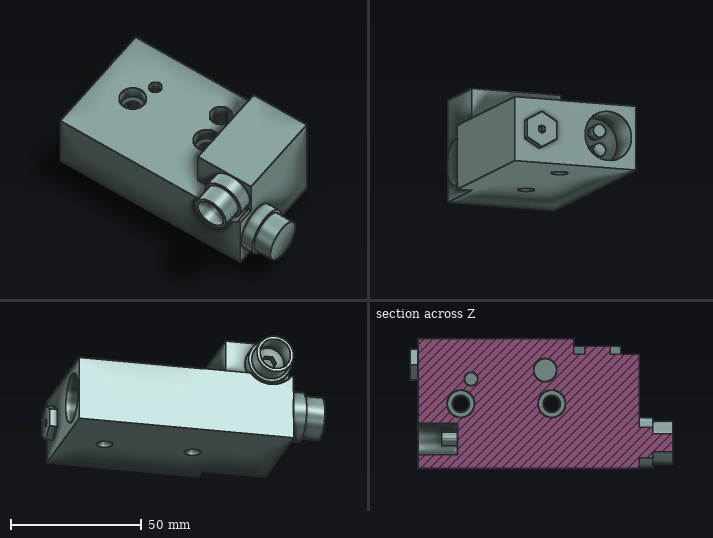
import cadquery as cq
import math


body_length = 85.0
body_depth = 50.0
body_height = 25.0
mid_height = body_height / 2

block_width = 25.0
block_depth = 37.0
block_height = 14.9
block_left = body_length - block_width
corner_step = 6.0
block_rear = body_depth - corner_step
block_front = block_rear - block_depth

plug_diameter = 18.0
plug_length = 3
plug_x = block_left + plug_diameter / 2

front_connector_x = 76.0
front_connector_z = 31.1
front_collar_diameter = 17.0
front_collar_length = 6.0
front_spigot_diameter = 14.5
front_spigot_length = 8.1
front_bore_diameter = 12.0
front_bore_depth = 10.1
socket_flats = 5
socket_depth = 3
relief_diameter = 20.0

side_connector_y = 10.0
side_collar_diameter = 19.2
side_collar_length = 5.3
side_spigot_diameter = 16.6
side_spigot_length = 7.7

hex_y = 40.0
hex_flats = 12.0
hex_length = 3
hex_hole_diameter = 2.8
hex_hole_depth = 3

pocket_y = 11.4
pocket_diameter = 19.2
pocket_depth = 15.2
pin_diameter = 5
pin_spacing = 7.5
pin_length = 6.1

mount_positions = [(16.5, 24.9), (51.4, 24.9)]
mount_diameter = 6.4
counterbore_diameter = 10.4
counterbore_depth = 5.7

blind_holes = [(20.4, 34.4, 5), (48.9, 37.9, 8.8)]
blind_depth = 10.1


def cylinder(start, direction, diameter, length):
    """Round bar from a start point along a direction."""
    return cq.Workplane(
        cq.Solid.makeCylinder(diameter / 2, length, cq.Vector(*start), cq.Vector(*direction))
    )


def hexagon_bar(start, direction, corner_direction, flats, length):
    """Hexagonal bar from a start point, with one corner along corner_direction."""
    plane = cq.Plane(origin=start, xDir=corner_direction, normal=direction)
    across_corners = flats / math.cos(math.pi / 6)
    return cq.Workplane(plane).polygon(6, across_corners).extrude(length)


def make_body():
    """Body with its stepped corner, raised block, relief and corner plug."""
    body = cq.Workplane().box(body_length, body_depth, body_height, centered=False)
    corner = (
        cq.Workplane()
        .box(block_width, corner_step, body_height, centered=False)
        .translate((block_left, block_rear, 0))
    )
    block = (
        cq.Workplane()
        .box(block_width, block_depth, block_height, centered=False)
        .translate((block_left, block_front, body_height))
    )
    relief = cylinder((front_connector_x, 0, front_connector_z), (0, 1, 0), relief_diameter, block_front)
    plug = cylinder((plug_x, block_rear, mid_height), (0, 1, 0), plug_diameter, plug_length)
    return body.cut(corner).cut(relief).union(block).union(plug)


def add_front_connector(part):
    """Hollow stepped spigot pointing forward from the raised block."""
    x, z = front_connector_x, front_connector_z
    step_y = block_front - front_collar_length
    tip_y = step_y - front_spigot_length
    floor_y = tip_y + front_bore_depth
    collar = cylinder((x, block_front, z), (0, -1, 0), front_collar_diameter, front_collar_length)
    spigot = cylinder((x, step_y, z), (0, -1, 0), front_spigot_diameter, front_spigot_length)
    bore = cylinder((x, tip_y, z), (0, 1, 0), front_bore_diameter, front_bore_depth)
    socket = hexagon_bar((x, floor_y, z), (0, 1, 0), (1, 0, 0), socket_flats, socket_depth)
    return part.union(collar).union(spigot).cut(bore).cut(socket)


def add_side_connector(part):
    """Stepped spigot pointing right from the body."""
    y, z = side_connector_y, mid_height
    step_x = body_length + side_collar_length
    collar = cylinder((body_length, y, z), (1, 0, 0), side_collar_diameter, side_collar_length)
    spigot = cylinder((step_x, y, z), (1, 0, 0), side_spigot_diameter, side_spigot_length)
    return part.union(collar).union(spigot)


def add_hex_plug(part):
    """Hexagonal plug with a small blind hole, corners up and down."""
    plug = hexagon_bar((0, hex_y, mid_height), (-1, 0, 0), (0, 0, 1), hex_flats, hex_length)
    hole = cylinder((-hex_length, hex_y, mid_height), (1, 0, 0), hex_hole_diameter, hex_hole_depth)
    return part.union(plug).cut(hole)


def cut_pin_pocket(part):
    """Round pocket in the left face with one pin above the other on its floor."""
    part = part.cut(cylinder((0, pocket_y, mid_height), (1, 0, 0), pocket_diameter, pocket_depth))
    for side in (-1, 1):
        pin_z = mid_height + side * pin_spacing / 2
        part = part.union(cylinder((pocket_depth, pocket_y, pin_z), (-1, 0, 0), pin_diameter, pin_length))
    return part


def cut_top_holes(part):
    """Counterbored mounting holes and blind holes in the top face."""
    for x, y in mount_positions:
        part = part.cut(cylinder((x, y, 0), (0, 0, 1), mount_diameter, body_height))
        top = (x, y, body_height)
        part = part.cut(cylinder(top, (0, 0, -1), counterbore_diameter, counterbore_depth))
    for x, y, diameter in blind_holes:
        part = part.cut(cylinder((x, y, body_height), (0, 0, -1), diameter, blind_depth))
    return part


result = make_body()
result = add_front_connector(result)
result = add_side_connector(result)
result = add_hex_plug(result)
result = cut_pin_pocket(result)
result = cut_top_holes(result)